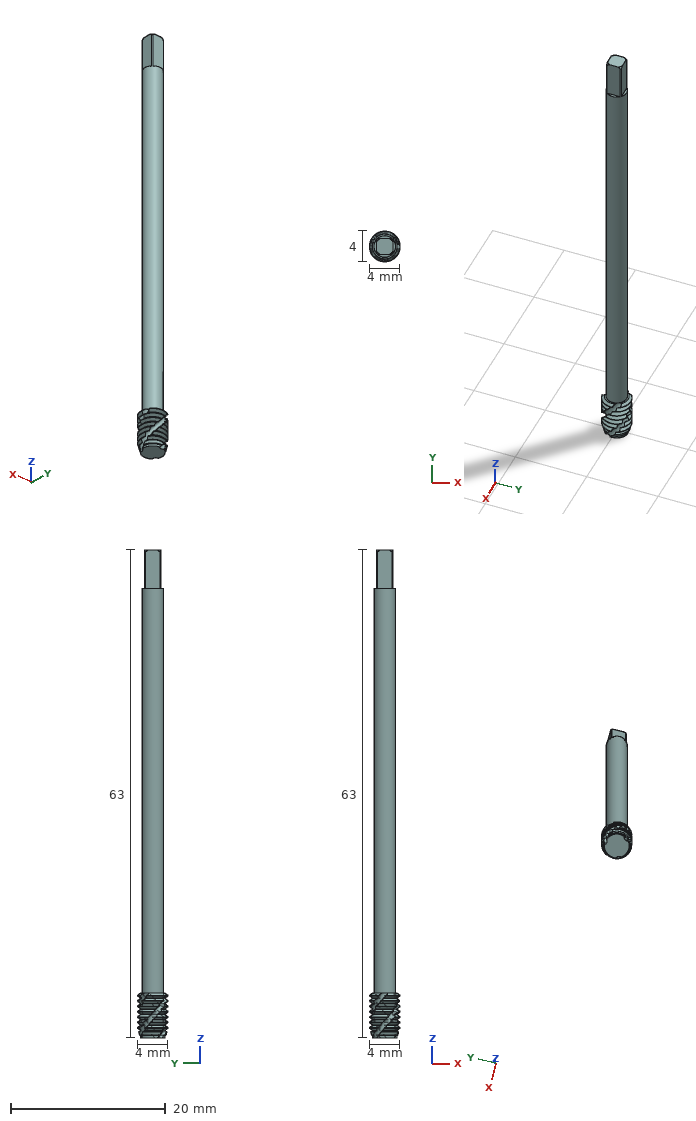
import cadquery as cq
import math

overall_length = 63.0

shank_diameter = 2.8
drive_square = 2.1
drive_length = 5.0
drive_tip_diameter = 2.4
drive_tip_height = 0.25

thread_diameter = 4.0
core_diameter = 3.2
thread_pitch = 0.7
tooth_count = 8
crest_width = 0.05
root_width = 0.05
nose_length = 0.25
lead_length = 1.4
head_length = nose_length + tooth_count * thread_pitch

flute_count = 3
flute_diameter = 1.0
flute_axis_radius = 1.9
flute_lead = 12.0
flute_top_angle = -90.0


def make_turned_bar():
    """Round bar with a short cone at its top end."""
    bar_radius = shank_diameter / 2
    outline = [
        (0, head_length),
        (bar_radius, head_length),
        (bar_radius, overall_length - drive_tip_height),
        (drive_tip_diameter / 2, overall_length),
        (0, overall_length),
    ]
    return cq.Workplane("XZ").polyline(outline).close().revolve(360, (0, 0), (0, 1))


def make_shank():
    """Turned bar with the square drive cut at its top end."""
    around_drive = (
        cq.Workplane("XY")
        .workplane(offset=overall_length - drive_length)
        .circle(shank_diameter)
        .rect(drive_square, drive_square)
        .extrude(drive_length)
    )
    return make_turned_bar().cut(around_drive)


def make_threaded_blank():
    """Core with V-shaped ring teeth, revolved in one piece."""
    core_radius = core_diameter / 2
    thread_radius = thread_diameter / 2
    flank_height = (thread_pitch - crest_width - root_width) / 2
    outline = [(0, 0), (core_radius, 0)]
    for index in range(tooth_count):
        tooth_bottom = nose_length + index * thread_pitch + root_width
        crest_bottom = tooth_bottom + flank_height
        crest_top = crest_bottom + crest_width
        outline.append((core_radius, tooth_bottom))
        outline.append((thread_radius, crest_bottom))
        outline.append((thread_radius, crest_top))
        outline.append((core_radius, crest_top + flank_height))
    outline.append((0, head_length))
    return cq.Workplane("XZ").polyline(outline).close().revolve(360, (0, 0), (0, 1))


def make_lead_cone():
    """Envelope that tapers the lowest teeth down to the core."""
    tip_radius = core_diameter / 2
    full_radius = thread_diameter / 2
    outline = [
        (0, 0),
        (tip_radius, 0),
        (full_radius, lead_length),
        (full_radius, head_length),
        (0, head_length),
    ]
    return cq.Workplane("XZ").polyline(outline).close().revolve(360, (0, 0), (0, 1))


def make_flute_cutter(top_angle):
    """Round bar twisted right-handed about the axis over the full head height."""
    twist = 360 * head_length / flute_lead
    bottom_angle = math.radians(top_angle - twist)
    center_x = flute_axis_radius * math.cos(bottom_angle)
    center_y = flute_axis_radius * math.sin(bottom_angle)
    bar = cq.Workplane("XY").moveTo(center_x, center_y).circle(flute_diameter / 2)
    return bar.twistExtrude(head_length, twist)


def make_cutting_head():
    """Tapered, ring-threaded head with its helical flutes."""
    head = make_threaded_blank().intersect(make_lead_cone())
    for index in range(flute_count):
        top_angle = flute_top_angle + index * 360 / flute_count
        head = head.cut(make_flute_cutter(top_angle))
    return head


shank = make_shank()
cutting_head = make_cutting_head()

result = cq.Compound.makeCompound([shank.val(), cutting_head.val()])